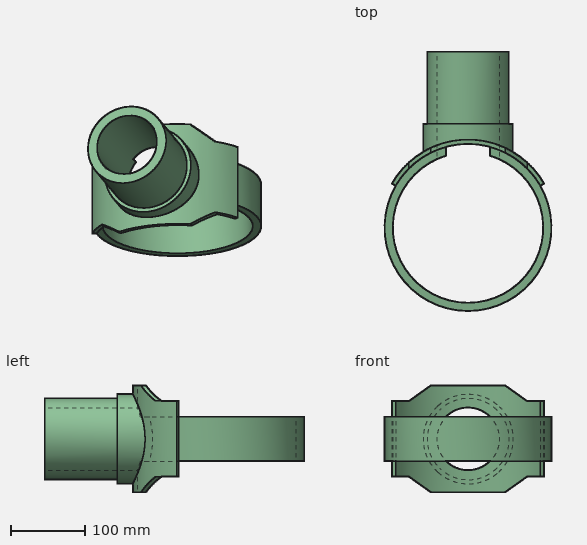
import cadquery as cq
import math

RING_OUTER_RADIUS = 112.5
RING_WALL = 11.4
RING_HEIGHT = 60.0

SADDLE_THICKNESS = 6.0
SADDLE_HALF_ANGLE = 60.0
SADDLE_HEIGHT = 144.0
SADDLE_END_HEIGHT = 102.0
SADDLE_CREST_HALF_WIDTH = 50.0
SADDLE_SHOULDER_HALF_WIDTH = 79.5

BRANCH_END = 237.0
SPIGOT_DIAMETER = 110.0
COLLAR_DIAMETER = 121.0
COLLAR_END = 139.5
BORE_DIAMETER = 84.0

RING_INNER_RADIUS = RING_OUTER_RADIUS - RING_WALL
SADDLE_OUTER_RADIUS = RING_OUTER_RADIUS + SADDLE_THICKNESS


def upright_cylinder(radius, height):
    """Cylinder along Z, centred on the origin."""
    return cq.Workplane("XY").circle(radius).extrude(height / 2, both=True)


def branch_cylinder(diameter, length):
    """Cylinder from the ring axis outwards along +Y."""
    return cq.Workplane("XZ").circle(diameter / 2).extrude(-length)


def make_ring():
    outer = upright_cylinder(RING_OUTER_RADIUS, RING_HEIGHT)
    return outer.cut(upright_cylinder(RING_INNER_RADIUS, RING_HEIGHT))


def arc_point(radius, degrees_from_y):
    angle = math.radians(degrees_from_y)
    return (radius * math.sin(angle), radius * math.cos(angle))


def make_saddle():
    """Arc-shaped plate with radial ends, trimmed to a stepped outline in XZ."""
    plate = (
        cq.Workplane("XY")
        .moveTo(*arc_point(RING_OUTER_RADIUS, -SADDLE_HALF_ANGLE))
        .lineTo(*arc_point(SADDLE_OUTER_RADIUS, -SADDLE_HALF_ANGLE))
        .threePointArc((0, SADDLE_OUTER_RADIUS), arc_point(SADDLE_OUTER_RADIUS, SADDLE_HALF_ANGLE))
        .lineTo(*arc_point(RING_OUTER_RADIUS, SADDLE_HALF_ANGLE))
        .threePointArc((0, RING_OUTER_RADIUS), arc_point(RING_OUTER_RADIUS, -SADDLE_HALF_ANGLE))
        .close()
        .extrude(SADDLE_HEIGHT / 2, both=True)
    )
    top = SADDLE_HEIGHT / 2
    end_top = SADDLE_END_HEIGHT / 2
    upper_edge = [
        (-SADDLE_OUTER_RADIUS, end_top),
        (-SADDLE_SHOULDER_HALF_WIDTH, end_top),
        (-SADDLE_CREST_HALF_WIDTH, top),
        (SADDLE_CREST_HALF_WIDTH, top),
        (SADDLE_SHOULDER_HALF_WIDTH, end_top),
        (SADDLE_OUTER_RADIUS, end_top),
    ]
    lower_edge = [(x, -z) for x, z in reversed(upper_edge)]
    outline = cq.Workplane("XZ").polyline(upper_edge + lower_edge).close().extrude(-SADDLE_OUTER_RADIUS)
    return plate.intersect(outline)


def make_branch():
    """Spigot and collar, with the foot shaped to the outside of the ring."""
    spigot = branch_cylinder(SPIGOT_DIAMETER, BRANCH_END)
    collar = branch_cylinder(COLLAR_DIAMETER, COLLAR_END)
    return spigot.union(collar).cut(upright_cylinder(RING_OUTER_RADIUS, SADDLE_HEIGHT))


bore = branch_cylinder(BORE_DIAMETER, BRANCH_END)

result = make_ring().union(make_saddle()).union(make_branch()).cut(bore)